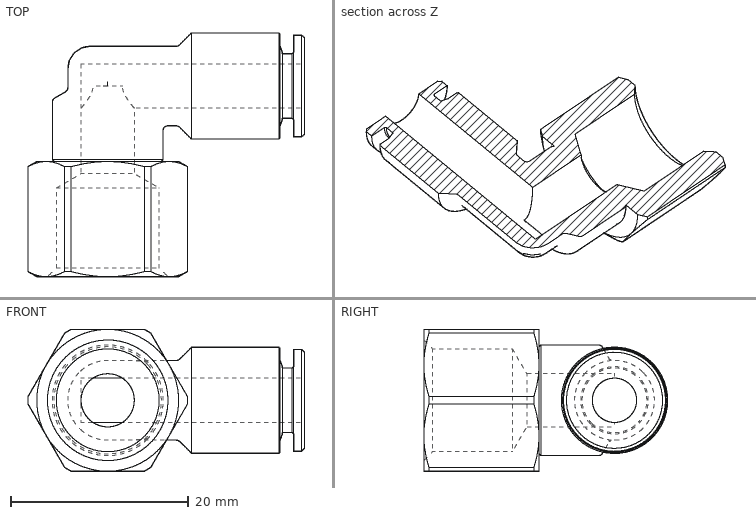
import cadquery as cq
import math


HEX_SIDES = 6
HEX_FLATS = 16.0
HEX_CORNERS = 18.0
HEX_LENGTH = 13.0
HEX_FACE_DIAMETER = 16.0
HEX_CHAMFER_ANGLE = 30.0

THREAD_DIAMETER = 11.6
THREAD_DEPTH = 10.0
MOUTH_DIAMETER = 13.6
PORT_DIAMETER = 6.0
BORE_BOTTOM_ANGLE = 30.0

BODY_DIAMETER = 12.5
BODY_SHOULDER_Y = 20.0
SHOULDER_ANGLE = 30.0
BODY_FOOT_CHAMFER = 0.2
BLEND_RADIUS = 0.5

ELBOW_DIAMETER = 9.0
ELBOW_Y = 21.5
ELBOW_CORNER_RADIUS = 2.5
CORNER_TIP_TRIM = 0.025
FLOW_DIAMETER = 5.0

SOCKET_DIAMETER = 12.0
SOCKET_START_X = 9.45
SOCKET_END_X = 19.45
SOCKET_END_CHAMFER = 0.15

SEAL_DIAMETER = 9.0
SEAL_LIP_DIAMETER = 7.6
SEAL_END_X = 19.7
COLLAR_DIAMETER = 7.3
COLLAR_BEVEL = 0.15
FLANGE_DIAMETER = 11.5
FLANGE_START_X = 20.95
FLANGE_END_X = 22.2
FLANGE_CHAMFER = 0.33

ELBOW_RADIUS = ELBOW_DIAMETER / 2
BODY_RADIUS = BODY_DIAMETER / 2
SOCKET_RADIUS = SOCKET_DIAMETER / 2
SHOULDER_TOP_Y = BODY_SHOULDER_Y + (BODY_RADIUS - ELBOW_RADIUS) * math.tan(math.radians(SHOULDER_ANGLE))
CONE_START_X = SOCKET_START_X - (SOCKET_RADIUS - ELBOW_RADIUS)
TUBE_END_X = CONE_START_X - BLEND_RADIUS
SELECT_MARGIN = 0.05
RADIUS_TOLERANCE = 0.01


def revolve_about_y(points):
    """Revolve an outline of (radius, y) points about the Y axis."""
    return cq.Workplane("XY").polyline(points).close().revolve(360, (0, 0, 0), (0, 1, 0))


def revolve_about_socket_axis(points):
    """Revolve an outline of (x, radius) points about the socket axis."""
    profile = cq.Workplane("XY", origin=(0, ELBOW_Y, 0)).polyline(points).close()
    return profile.revolve(360, (0, 0, 0), (1, 0, 0))


def y_cylinder(diameter, start, end):
    """Cylinder on the nut axis between two Y positions."""
    return cq.Workplane("XZ", origin=(0, start, 0)).circle(diameter / 2).extrude(start - end)


def x_cylinder(diameter, start, end):
    """Cylinder on the socket axis between two X positions."""
    return cq.Workplane("YZ", origin=(start, ELBOW_Y, 0)).circle(diameter / 2).extrude(end - start)


def make_nut():
    """Hexagon with its corners turned round and both ends chamfered."""
    across_points = HEX_FLATS / math.cos(math.pi / HEX_SIDES)
    prism = cq.Workplane("XZ").polygon(HEX_SIDES, across_points).extrude(-HEX_LENGTH)
    face_radius = HEX_FACE_DIAMETER / 2
    outer_radius = HEX_CORNERS / 2
    chamfer = (outer_radius - face_radius) * math.tan(math.radians(HEX_CHAMFER_ANGLE))
    envelope = revolve_about_y([
        (0, 0),
        (face_radius, 0),
        (outer_radius, chamfer),
        (outer_radius, HEX_LENGTH - chamfer),
        (face_radius, HEX_LENGTH),
        (0, HEX_LENGTH),
    ])
    return prism.intersect(envelope)


def make_body():
    """Round body with a conical shoulder whose lower edge is rounded."""
    body = revolve_about_y([
        (0, HEX_LENGTH),
        (BODY_RADIUS - BODY_FOOT_CHAMFER, HEX_LENGTH),
        (BODY_RADIUS, HEX_LENGTH + BODY_FOOT_CHAMFER),
        (BODY_RADIUS, BODY_SHOULDER_Y),
        (ELBOW_RADIUS, SHOULDER_TOP_Y),
        (0, SHOULDER_TOP_Y),
    ])
    shoulder_edge = cq.selectors.BoxSelector(
        (-BODY_RADIUS, BODY_SHOULDER_Y - SELECT_MARGIN, -BODY_RADIUS),
        (BODY_RADIUS, BODY_SHOULDER_Y + SELECT_MARGIN, BODY_RADIUS),
    )
    return body.edges("%CIRCLE").edges(shoulder_edge).fillet(BLEND_RADIUS)


def make_socket():
    """Tube socket with the cone and blend that lead into it."""
    socket = revolve_about_socket_axis([
        (TUBE_END_X, 0),
        (TUBE_END_X, ELBOW_RADIUS),
        (CONE_START_X, ELBOW_RADIUS),
        (SOCKET_START_X, SOCKET_RADIUS),
        (SOCKET_END_X - SOCKET_END_CHAMFER, SOCKET_RADIUS),
        (SOCKET_END_X, SOCKET_RADIUS - SOCKET_END_CHAMFER),
        (SOCKET_END_X, 0),
    ])
    cone_foot = cq.selectors.BoxSelector(
        (CONE_START_X - SELECT_MARGIN, ELBOW_Y - SOCKET_RADIUS, -SOCKET_RADIUS),
        (CONE_START_X + SELECT_MARGIN, ELBOW_Y + SOCKET_RADIUS, SOCKET_RADIUS),
    )
    return socket.edges("%CIRCLE").edges(cone_foot).fillet(BLEND_RADIUS)


def make_collar():
    """Conical seal lip, thin collar and flange beyond the socket."""
    collar_radius = COLLAR_DIAMETER / 2
    flange_radius = FLANGE_DIAMETER / 2
    return revolve_about_socket_axis([
        (SOCKET_END_X, 0),
        (SOCKET_END_X, SEAL_DIAMETER / 2),
        (SEAL_END_X, SEAL_LIP_DIAMETER / 2),
        (SEAL_END_X, collar_radius),
        (FLANGE_START_X - COLLAR_BEVEL, collar_radius),
        (FLANGE_START_X, collar_radius + COLLAR_BEVEL),
        (FLANGE_START_X, flange_radius),
        (FLANGE_END_X - FLANGE_CHAMFER, flange_radius),
        (FLANGE_END_X, flange_radius - FLANGE_CHAMFER),
        (FLANGE_END_X, 0),
    ])


def make_elbow_corner():
    """Outer quarter of the mitre, with the mitre edge rounded.

    The rounding fades out where the two cylinders become tangent, so the
    quarter stops just short of those two tips.
    """
    half_height = ELBOW_RADIUS - CORNER_TIP_TRIM
    quarter = cq.Workplane("XY").box(ELBOW_RADIUS, ELBOW_RADIUS, 2 * half_height).translate(
        (-ELBOW_RADIUS / 2, ELBOW_Y + ELBOW_RADIUS / 2, 0)
    )
    along_x = x_cylinder(ELBOW_DIAMETER, -ELBOW_DIAMETER, ELBOW_DIAMETER)
    along_y = y_cylinder(ELBOW_DIAMETER, ELBOW_Y - ELBOW_DIAMETER, ELBOW_Y + ELBOW_DIAMETER)
    corner = along_x.intersect(along_y).intersect(quarter)
    mitre_edges = corner.edges("%ELLIPSE or %BSPLINE")
    return corner.newObject(mitre_edges.vals()).fillet(ELBOW_CORNER_RADIUS)


def blend_elbow_into_body(solid):
    """Round the inside corner all around the foot of the elbow."""
    tube_bottom_y = ELBOW_Y - ELBOW_RADIUS
    foot_edges = []
    for edge in solid.edges().vals():
        middle = edge.positionAt(0.5)
        heights = [point.y for point in (edge.startPoint(), middle, edge.endPoint())]
        above_tube_bottom = min(heights) > tube_bottom_y - SELECT_MARGIN
        below_shoulder_top = max(heights) < SHOULDER_TOP_Y + SELECT_MARGIN
        on_elbow = abs(math.hypot(middle.y - ELBOW_Y, middle.z) - ELBOW_RADIUS) < RADIUS_TOLERANCE
        on_neck = abs(math.hypot(middle.x, middle.z) - ELBOW_RADIUS) < RADIUS_TOLERANCE
        if above_tube_bottom and below_shoulder_top and (on_elbow or on_neck):
            foot_edges.append(edge)
    return solid.newObject(foot_edges).fillet(BLEND_RADIUS)


def make_nut_bore():
    """Chamfered threaded bore with a conical bottom leading to the port."""
    thread_radius = THREAD_DIAMETER / 2
    mouth_radius = MOUTH_DIAMETER / 2
    port_radius = PORT_DIAMETER / 2
    bottom_rise = (thread_radius - port_radius) * math.tan(math.radians(BORE_BOTTOM_ANGLE))
    return revolve_about_y([
        (0, 0),
        (mouth_radius, 0),
        (thread_radius, mouth_radius - thread_radius),
        (thread_radius, THREAD_DEPTH),
        (port_radius, THREAD_DEPTH + bottom_rise),
        (port_radius, ELBOW_Y),
        (0, ELBOW_Y),
    ])


neck = y_cylinder(ELBOW_DIAMETER, HEX_LENGTH, ELBOW_Y)
tube = x_cylinder(ELBOW_DIAMETER, 0, TUBE_END_X)
elbow = tube.union(neck).union(make_elbow_corner())
housing = blend_elbow_into_body(elbow.union(make_body()))
fitting = housing.union(make_nut()).union(make_socket()).union(make_collar())

flow_bore = x_cylinder(FLOW_DIAMETER, -PORT_DIAMETER / 2, FLANGE_END_X)
result = fitting.cut(make_nut_bore()).cut(flow_bore)